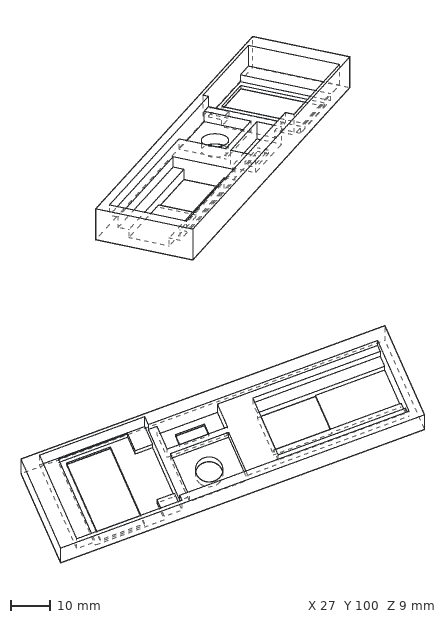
import cadquery as cq

WIDTH = 27.0
LENGTH = 100.0
HEIGHT = 9.0

THIN_FLOOR = 1.0
CABLE_FLOOR = 0.7
LEDGE_LEVEL = 3.0
DECK_LEVEL = 6.0

BAY_LEFT = 0.9
BAY_RIGHT = 26.2
BAY_FRONT = 66.3
BAY_BACK = 95.2
RECESS_RIGHT = 25.9
SHELF_FRONT = 90.1
POST_WIDTH = 5.1
POST_LENGTH = 4.8
WINDOW_LEFT = 1.8
WINDOW_RIGHT = 25.0
WINDOW_FRONT = 76.2
WINDOW_BACK = 88.3

CAVITY_LEFT = 2.4
CAVITY_RIGHT = 23.8
CAVITY_FRONT = 3.3

BUTTON_RIGHT = 15.4
BUTTON_FRONT = 47.6
BUTTON_LENGTH = 16.0
BUTTON_HOLE_DIAMETER = 7.0
BUTTON_HOLE_X = (CAVITY_LEFT + BUTTON_RIGHT) / 2
BUTTON_HOLE_Y = BUTTON_FRONT + BUTTON_LENGTH / 2

SWITCH_LEFT = 16.9
SWITCH_FRONT = 47.3
SWITCH_LENGTH = 16.6
SLOT_LEFT = 19.0
SLOT_WIDTH = 3.0
SLOT_LENGTH = 8.0
SLOT_FRONT = SWITCH_FRONT + (SWITCH_LENGTH - SLOT_LENGTH) / 2

CHANNEL_LEFT = 4.8
CHANNEL_RIGHT = 22.0
CHANNEL_BACK = 38.3
RAIL_WIDTH = 3.0
OPENING_LENGTH = 16.0


def block(left, right, front, back, bottom, top=HEIGHT):
    """Axis-aligned box given by its limits along X, Y and Z."""
    size = (right - left, back - front, top - bottom)
    return cq.Workplane("XY").box(*size, centered=False).translate((left, front, bottom))


def display_bay():
    """Space removed for the display: upper bay, lower recess and window."""
    upper = block(BAY_LEFT, BAY_RIGHT, BAY_FRONT, BAY_BACK, LEDGE_LEVEL)
    recess = block(BAY_LEFT, RECESS_RIGHT, BAY_FRONT, SHELF_FRONT, THIN_FLOOR)
    post_back = BAY_FRONT + POST_LENGTH
    for left, right in (
        (BAY_LEFT, BAY_LEFT + POST_WIDTH),
        (RECESS_RIGHT - POST_WIDTH, RECESS_RIGHT),
    ):
        recess = recess.cut(block(left, right, BAY_FRONT, post_back, THIN_FLOOR, LEDGE_LEVEL))
    window = block(WINDOW_LEFT, WINDOW_RIGHT, WINDOW_FRONT, WINDOW_BACK, 0)
    return upper.union(recess).union(window)


def button_pocket():
    """Square pocket with a through hole at its centre."""
    pocket = block(CAVITY_LEFT, BUTTON_RIGHT, BUTTON_FRONT, BUTTON_FRONT + BUTTON_LENGTH, LEDGE_LEVEL)
    hole = cq.Workplane("XY").center(BUTTON_HOLE_X, BUTTON_HOLE_Y).circle(BUTTON_HOLE_DIAMETER / 2)
    return pocket.union(hole.extrude(HEIGHT))


def switch_pocket():
    """Deep narrow pocket with a through slot."""
    pocket = block(SWITCH_LEFT, CAVITY_RIGHT, SWITCH_FRONT, SWITCH_FRONT + SWITCH_LENGTH, THIN_FLOOR)
    slot = block(SLOT_LEFT, SLOT_LEFT + SLOT_WIDTH, SLOT_FRONT, SLOT_FRONT + SLOT_LENGTH, 0)
    return pocket.union(slot)


def front_channel():
    """Channel between two rails, open through the base at its inner end."""
    inner_left = CHANNEL_LEFT + RAIL_WIDTH
    inner_right = CHANNEL_RIGHT - RAIL_WIDTH
    upper = block(CHANNEL_LEFT, CHANNEL_RIGHT, CAVITY_FRONT, CHANNEL_BACK, LEDGE_LEVEL)
    lower = block(inner_left, inner_right, CAVITY_FRONT, CHANNEL_BACK, CABLE_FLOOR)
    opening = block(inner_left, inner_right, CHANNEL_BACK - OPENING_LENGTH, CHANNEL_BACK, 0)
    return upper.union(lower).union(opening)


result = (
    block(0, WIDTH, 0, LENGTH, 0)
    .cut(block(CAVITY_LEFT, CAVITY_RIGHT, CAVITY_FRONT, BAY_FRONT, DECK_LEVEL))
    .cut(display_bay())
    .cut(button_pocket())
    .cut(switch_pocket())
    .cut(front_channel())
)